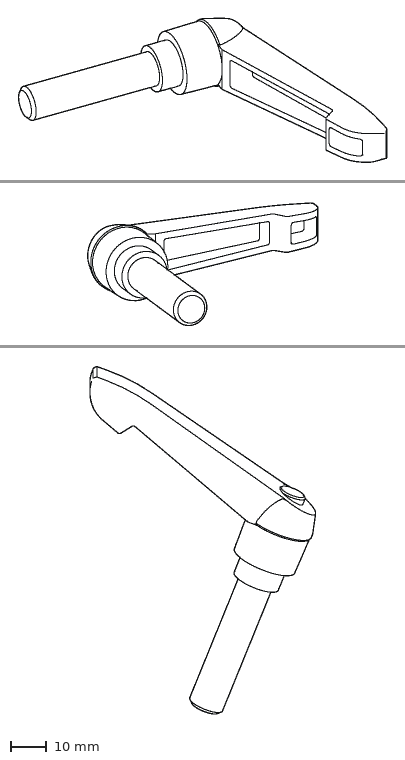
import cadquery as cq
import math


stud_radius = 10.0 / 2
stud_length = 40.0
stud_chamfer = 1.0
collar_radius = 13.5 / 2
collar_length = 6.5

hub_height = 11.0
hub_bottom_radius = 9.2
hub_middle_radius = 9.35
hub_top_radius = 9.4

rim_radius = 19.5 / 2
rim_undercut_height = 0.5
rim_band_height = 0.9
rim_bottom = hub_height + rim_undercut_height
rim_top = rim_bottom + rim_band_height
dome_middle_radius = 9.1
dome_middle_y = 15.5
dome_top_radius = 7.4
dome_top_y = 21.0
head_blank_top = 24.0

pin_radius = 4.0
pin_top = 21.85
pin_chamfer = 0.5

top_slope = math.radians(15)
top_height_on_axis = 20.6
bottom_slope = math.radians(20)
bottom_start_x = hub_top_radius
overall_length = 81.55
overall_top = overall_length - stud_length - collar_length
tip_x = 65.0
tip_radius = 10.5
tip_corner_chamfer = 0.8
back_radius = 55.0
notch_x = 49.45
notch_slope = math.radians(55)
notch_wall_run = 2.75
notch_fillet = 0.8

half_thickness_on_axis = 7.0
half_thickness_at_tip = 4.8
tip_edge_fillet = 0.75

wall_thickness = 2.0
pocket_corner_radius = 0.8
pocket_floor_thickness = 3.0
pocket_cut_depth = 12.0
main_pocket_start = 10.4
main_pocket_end = 48.65
tip_pocket_start = 53.05
tip_pocket_end = 63.75


def lever_top_y(x):
    return top_height_on_axis + x * math.tan(top_slope)


def lever_bottom_y(x):
    return hub_height + (x - bottom_start_x) * math.tan(bottom_slope)


def half_thickness(x):
    return half_thickness_on_axis + (half_thickness_at_tip - half_thickness_on_axis) * x / tip_x


lip_x = notch_x + notch_wall_run
lip_y = lever_bottom_y(notch_x) - notch_wall_run * math.tan(notch_slope)


def lip_bottom_y(x):
    return lip_y + (x - lip_x) * math.tan(bottom_slope)


def revolve_about_stud(profile):
    return profile.close().revolve(360, (0, 0, 0), (0, 1, 0))


def make_stud():
    collar_bottom = -collar_length
    stud_bottom = collar_bottom - stud_length
    profile = (
        cq.Workplane("XY")
        .moveTo(0, stud_bottom)
        .lineTo(stud_radius - stud_chamfer, stud_bottom)
        .lineTo(stud_radius, stud_bottom + stud_chamfer)
        .lineTo(stud_radius, collar_bottom)
        .lineTo(collar_radius, collar_bottom)
        .lineTo(collar_radius, hub_height)
        .lineTo(0, hub_height)
    )
    return revolve_about_stud(profile)


def make_hub():
    profile = (
        cq.Workplane("XY")
        .lineTo(hub_bottom_radius, 0)
        .threePointArc((hub_middle_radius, hub_height / 2), (hub_top_radius, hub_height))
        .lineTo(0, hub_height)
    )
    return revolve_about_stud(profile)


def make_head():
    profile = (
        cq.Workplane("XY")
        .moveTo(0, hub_height)
        .lineTo(hub_top_radius, hub_height)
        .lineTo(rim_radius, rim_bottom)
        .lineTo(rim_radius, rim_top)
        .threePointArc((dome_middle_radius, dome_middle_y), (dome_top_radius, dome_top_y))
        .lineTo(dome_top_radius, head_blank_top)
        .lineTo(0, head_blank_top)
    )
    above_slope = (
        cq.Workplane("XY")
        .moveTo(-2 * rim_radius, lever_top_y(-2 * rim_radius))
        .lineTo(2 * rim_radius, lever_top_y(2 * rim_radius))
        .lineTo(2 * rim_radius, 2 * head_blank_top)
        .lineTo(-2 * rim_radius, 2 * head_blank_top)
        .close()
        .extrude(rim_radius, both=True)
    )
    return revolve_about_stud(profile).cut(above_slope)


def make_pin():
    profile = (
        cq.Workplane("XY")
        .moveTo(0, hub_height)
        .lineTo(pin_radius, hub_height)
        .lineTo(pin_radius, pin_top - pin_chamfer)
        .lineTo(pin_radius - pin_chamfer, pin_top)
        .lineTo(0, pin_top)
    )
    return revolve_about_stud(profile)


def make_lever_blank():
    tip_center_x = tip_x - tip_radius
    tip_center_y = lip_bottom_y(tip_center_x) + tip_radius / math.cos(bottom_slope)

    def on_tip(angle):
        return (
            tip_center_x + tip_radius * math.cos(angle),
            tip_center_y + tip_radius * math.sin(angle),
        )

    tip_start_angle = bottom_slope - math.pi / 2

    blend_length = back_radius * math.tan(top_slope / 2)
    blend_corner_x = (overall_top - top_height_on_axis) / math.tan(top_slope)
    blend_end_x = blend_corner_x + blend_length
    blend_start_x = blend_corner_x - blend_length * math.cos(top_slope)
    blend_middle = (
        blend_end_x - back_radius * math.sin(top_slope / 2),
        overall_top - back_radius * (1 - math.cos(top_slope / 2)),
    )

    flat_lever = (
        cq.Workplane("XY")
        .moveTo(0, hub_height)
        .lineTo(bottom_start_x, hub_height)
        .lineTo(notch_x, lever_bottom_y(notch_x))
        .lineTo(lip_x, lip_y)
        .lineTo(*on_tip(tip_start_angle))
        .threePointArc(on_tip(tip_start_angle / 2), on_tip(0))
        .lineTo(tip_x, overall_top - tip_corner_chamfer)
        .lineTo(tip_x - tip_corner_chamfer, overall_top)
        .lineTo(blend_end_x, overall_top)
        .threePointArc(blend_middle, (blend_start_x, lever_top_y(blend_start_x)))
        .lineTo(0, top_height_on_axis)
        .close()
        .extrude(half_thickness_on_axis, both=True)
    )
    notch_edges = cq.selectors.BoxSelector(
        (notch_x - notch_fillet, lip_y - notch_fillet, -half_thickness_on_axis),
        (lip_x + notch_fillet, lever_bottom_y(notch_x) + notch_fillet, half_thickness_on_axis),
    )
    flat_lever = flat_lever.edges("|Z").edges(notch_edges).fillet(notch_fillet)

    taper = (
        cq.Workplane("XZ")
        .polyline([
            (0, -half_thickness_on_axis),
            (tip_x, -half_thickness_at_tip),
            (tip_x, half_thickness_at_tip),
            (0, half_thickness_on_axis),
        ])
        .close()
        .extrude(-overall_top)
        .edges("|Y and >X")
        .fillet(tip_edge_fillet)
    )
    return flat_lever.intersect(taper)


def make_pocket(floor_start, floor_end):
    """Tapered pocket, cut square to the back of the lever from its floor down
    through the underside."""
    start_half_width = half_thickness(floor_start) - wall_thickness
    end_half_width = half_thickness(floor_end) - wall_thickness
    floor = cq.Plane(
        origin=(0, top_height_on_axis - pocket_floor_thickness / math.cos(top_slope), 0),
        xDir=(math.cos(top_slope), math.sin(top_slope), 0),
        normal=(math.sin(top_slope), -math.cos(top_slope), 0),
    )
    return (
        cq.Workplane(floor)
        .polyline([
            (floor_start, -start_half_width),
            (floor_end, -end_half_width),
            (floor_end, end_half_width),
            (floor_start, start_half_width),
        ])
        .close()
        .extrude(pocket_cut_depth)
        .edges(cq.selectors.ParallelDirSelector(floor.zDir))
        .fillet(pocket_corner_radius)
    )


main_pocket = make_pocket(main_pocket_start, main_pocket_end)
tip_pocket = make_pocket(tip_pocket_start, tip_pocket_end)
lever = make_lever_blank().cut(main_pocket).cut(tip_pocket)

result = make_stud().union(make_hub()).union(make_head()).union(lever).union(make_pin())